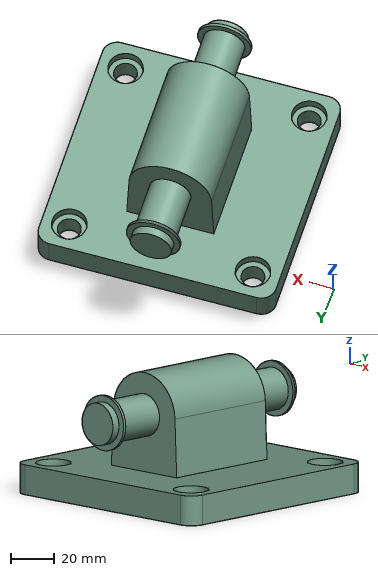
import cadquery as cq
import math

plate_side = 115.0
plate_thickness = 14.2
corner_radius = 7.2

hole_offset = 44.5
hole_diameter = 11.0
counterbore_diameter = 16.5
counterbore_depth = 4.3

total_height = 61.0
block_length = 60.0
block_base_width = 42.2
block_top_radius = 20.0

pin_length = 122.0
pin_diameter = 20.0
ring_diameter = 26.0
ring_thickness = 1.5
ring_end_gap = 4.0

pin_height = total_height - block_top_radius


def make_plate():
    plate = cq.Workplane("XY").box(
        plate_side, plate_side, plate_thickness, centered=(True, True, False)
    )
    plate = plate.edges("|Z").fillet(corner_radius)
    spacing = 2 * hole_offset
    return (
        plate.faces(">Z")
        .workplane()
        .rarray(spacing, spacing, 2, 2)
        .cboreHole(hole_diameter, counterbore_diameter, counterbore_depth)
    )


def make_block():
    half_width = block_base_width / 2
    drop = pin_height - plate_thickness
    corner_distance = math.hypot(half_width, drop)
    tangent_angle = math.acos(block_top_radius / corner_distance) - math.atan2(drop, half_width)
    tangent_x = block_top_radius * math.cos(tangent_angle)
    tangent_z = pin_height + block_top_radius * math.sin(tangent_angle)
    return (
        cq.Workplane("XZ")
        .moveTo(-half_width, plate_thickness)
        .lineTo(half_width, plate_thickness)
        .lineTo(tangent_x, tangent_z)
        .threePointArc((0, total_height), (-tangent_x, tangent_z))
        .close()
        .extrude(block_length / 2, both=True)
    )


def make_cylinder(diameter, length, center_y):
    """Cylinder on the pin axis, centred lengthwise at center_y."""
    return (
        cq.Workplane("XZ")
        .center(0, pin_height)
        .circle(diameter / 2)
        .extrude(length / 2, both=True)
        .translate((0, center_y, 0))
    )


result = make_plate().union(make_block())
result = result.union(make_cylinder(pin_diameter, pin_length, 0))

ring_center = pin_length / 2 - ring_end_gap - ring_thickness / 2
for side in (-1, 1):
    result = result.union(make_cylinder(ring_diameter, ring_thickness, side * ring_center))